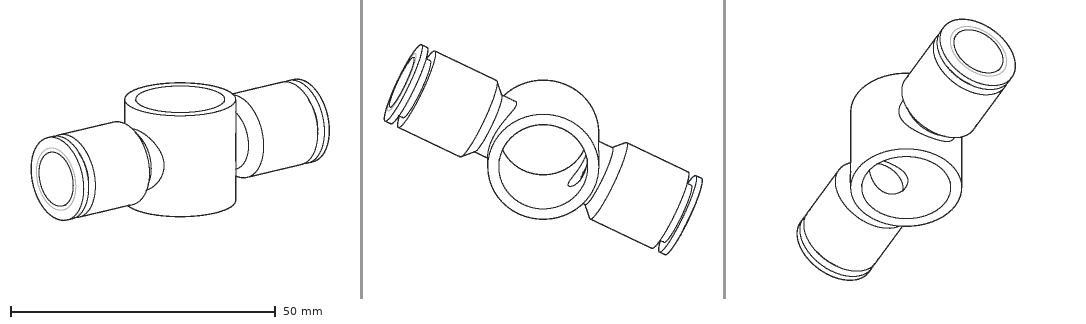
import cadquery as cq

ring_outer_diameter = 21.0
ring_inner_diameter = 16.8
ring_height = 20.0

overall_length = 59.8
socket_diameter = 16.0
neck_diameter = 11.95
tube_bore_diameter = 10.4
passage_diameter = 8.25

face_cone_depth = 0.3
flange_depth = 1.5
groove_depth = 3.1
socket_depth = 16.15
tube_bore_depth = 20.5

socket_radius = socket_diameter / 2
neck_radius = neck_diameter / 2
half_length = overall_length / 2
shoulder_length = socket_radius - neck_radius
shoulder_depth = socket_depth + shoulder_length


def make_ring():
    """Solid upright cylinder, centred on the origin."""
    return cq.Workplane("XY").circle(ring_outer_diameter / 2).extrude(ring_height / 2, both=True)


def make_arm():
    """Arm along +Y: neck, tapered shoulder, socket body, groove and release flange."""
    profile = [
        (0, 0),
        (neck_radius, 0),
        (neck_radius, half_length - shoulder_depth),
        (socket_radius, half_length - socket_depth),
        (socket_radius, half_length - groove_depth),
        (neck_radius, half_length - groove_depth),
        (neck_radius, half_length - flange_depth),
        (socket_radius, half_length - flange_depth),
        (socket_radius, half_length - face_cone_depth),
        (neck_radius, half_length),
        (0, half_length),
    ]
    return cq.Workplane("XY").polyline(profile).close().revolve(360, (0, 0, 0), (0, 1, 0))


def make_arm_bore():
    """Stepped bore along +Y: narrow passage opening into the wider tube seat."""
    passage_radius = passage_diameter / 2
    tube_bore_radius = tube_bore_diameter / 2
    seat = half_length - tube_bore_depth
    profile = [
        (0, 0),
        (passage_radius, 0),
        (passage_radius, seat),
        (tube_bore_radius, seat),
        (tube_bore_radius, half_length),
        (0, half_length),
    ]
    return cq.Workplane("XY").polyline(profile).close().revolve(360, (0, 0, 0), (0, 1, 0))


def both_ends(feature):
    """The feature together with its mirror image at the -Y end."""
    return feature.union(feature.mirror("XZ"))


ring_bore = cq.Workplane("XY").circle(ring_inner_diameter / 2).extrude(ring_height / 2, both=True)

result = make_ring().union(both_ends(make_arm()))
result = result.cut(ring_bore).cut(both_ends(make_arm_bore()))